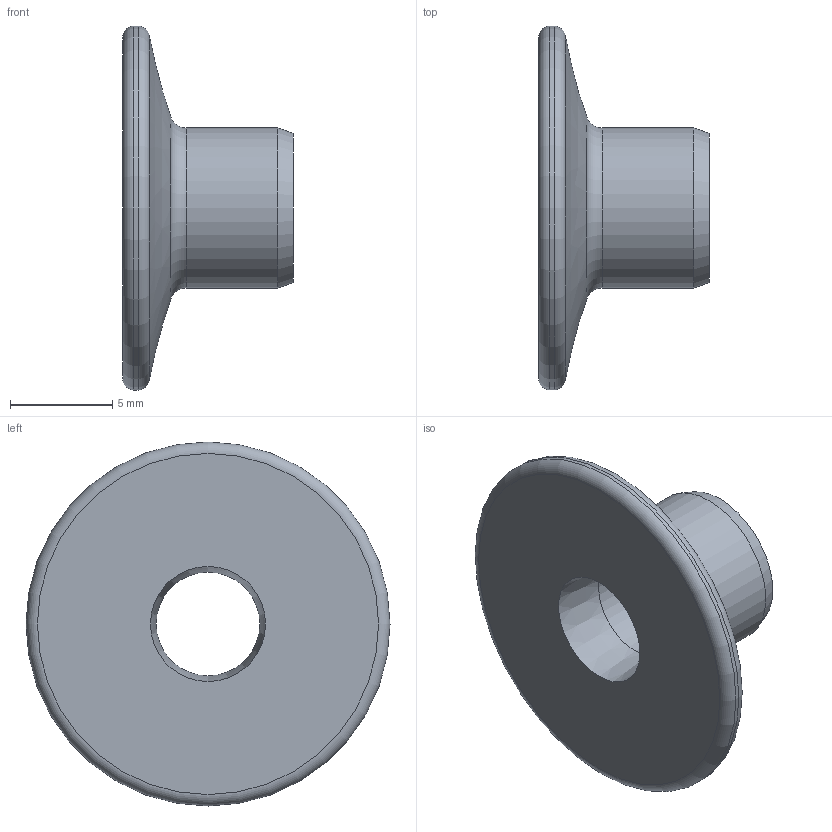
import cadquery as cq
import math


total_length = 8.38
flange_radius = 8.92

rim_fillet = 0.56
rim_land = 0.20

barrel_radius = 3.925
tip_chamfer_length = 0.76
tip_chamfer_angle = 20.0
neck_fillet = 0.80
neck_end = 3.12

back_radius = 30.0

bore_radius = 2.54
lead_in_radius = 2.82
lead_in_depth = 2.5


def distance(a, b):
    return math.hypot(b[0] - a[0], b[1] - a[1])


def point_toward(start, target, length):
    """Point at the given distance from start, on the ray toward target."""
    ratio = length / distance(start, target)
    return (start[0] + (target[0] - start[0]) * ratio, start[1] + (target[1] - start[1]) * ratio)


def circle_intersection(center_a, radius_a, center_b, radius_b):
    """Crossing point of two circles on the left of the direction a to b."""
    gap = distance(center_a, center_b)
    along = (radius_a**2 - radius_b**2 + gap**2) / (2 * gap)
    offset = math.sqrt(radius_a**2 - along**2)
    ux = (center_b[0] - center_a[0]) / gap
    ur = (center_b[1] - center_a[1]) / gap
    return (center_a[0] + along * ux - offset * ur, center_a[1] + along * ur + offset * ux)


def arc_middle(center, radius, start, end):
    """Middle point of the shorter arc from start to end."""
    chord_middle = ((start[0] + end[0]) / 2, (start[1] + end[1]) / 2)
    return point_toward(center, chord_middle, radius)


def make_body():
    """Solid flange and barrel, without the bore."""
    rim_center_radius = flange_radius - rim_fillet
    front_center = (rim_fillet, rim_center_radius)
    rear_center = (rim_fillet + rim_land, rim_center_radius)
    neck_center = (neck_end, barrel_radius + neck_fillet)

    back_center = circle_intersection(
        rear_center, back_radius + rim_fillet, neck_center, back_radius - neck_fillet
    )

    face_edge = (0, rim_center_radius)
    land_start = (front_center[0], flange_radius)
    land_end = (rear_center[0], flange_radius)
    back_start = point_toward(rear_center, back_center, rim_fillet)
    back_end = point_toward(back_center, neck_center, back_radius)
    barrel_start = (neck_end, barrel_radius)
    tip_radius = barrel_radius - tip_chamfer_length * math.tan(math.radians(tip_chamfer_angle))

    return (
        cq.Workplane("XZ")
        .lineTo(*face_edge)
        .threePointArc(arc_middle(front_center, rim_fillet, face_edge, land_start), land_start)
        .lineTo(*land_end)
        .threePointArc(arc_middle(rear_center, rim_fillet, land_end, back_start), back_start)
        .threePointArc(arc_middle(back_center, back_radius, back_start, back_end), back_end)
        .threePointArc(arc_middle(neck_center, neck_fillet, back_end, barrel_start), barrel_start)
        .lineTo(total_length - tip_chamfer_length, barrel_radius)
        .lineTo(total_length, tip_radius)
        .lineTo(total_length, 0)
        .close()
        .revolve(360, (0, 0, 0), (1, 0, 0))
    )


def make_bore():
    """Volume of the tapered lead-in and the straight through hole."""
    return (
        cq.Workplane("XZ")
        .lineTo(0, lead_in_radius)
        .lineTo(lead_in_depth, bore_radius)
        .lineTo(total_length, bore_radius)
        .lineTo(total_length, 0)
        .close()
        .revolve(360, (0, 0, 0), (1, 0, 0))
    )


result = make_body().cut(make_bore())